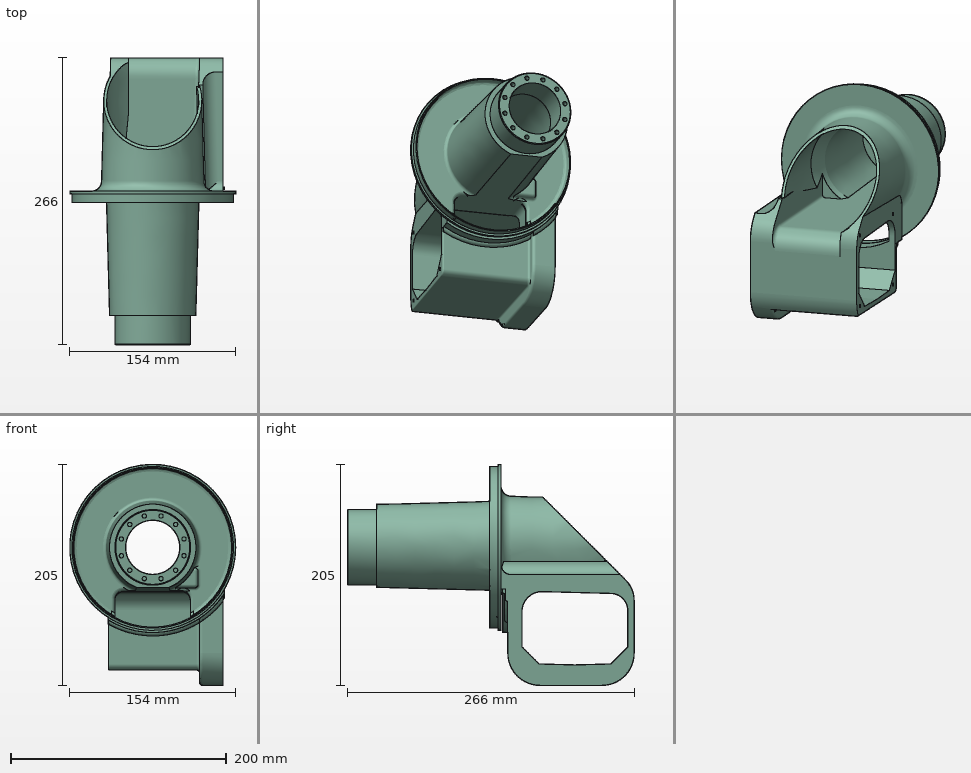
import cadquery as cq
import math


DRAFT = math.radians(1.5)
Y_BACK = 123.5
Y_NOSE = Y_BACK - 266

LIP_R = 77.0
LIP_LENGTH = 2.7
CUP_R = 75.0
CUP_RIM_R = 74.0
CUP_INNER_R = 72.5
CUP_FRONT = -10.6
CUP_FLOOR = -4.3
CUP_FILLET = 3.0

TUBE_ROOT_R = 42.8
TUBE_END = -115.5
ROOT_FILLET = 3.0
SPIGOT_R = 35.0
SPIGOT_CHAMFER = 0.8
BORE_R = 25.0
BORE_LENGTH = 32.0
TUBE_WALL = 5.0

BOLT_COUNT = 12
BOLT_CIRCLE_R = 30.0
BOLT_HOLE_D = 4.0
BOLT_HOLE_DEPTH = 8.0

NECK_R = 47.75
NECK_FILLET = 9.3
NECK_WALL = 3.0
SLOPE_ANGLE = math.radians(45)
SLOPE_SUM = 85.0
SLOPE_ROUND = 26.5

BOX_LEFT = -41.5
BOX_LEFT_LEAN = 2.5
BOX_RIGHT = 43.4
BOX_FRONT = 14.5
BOX_BOTTOM = -113.8
BOX_TOP = -18.5
BOX_EDGE = 5.3
BOX_SIDE_EDGE = 1.3

PLATE_RIGHT = 65.2
PLATE_FRONT = 6.0
PLATE_BOTTOM = LIP_R - 205.0
PLATE_TOP = -25.3
PLATE_CORNER_R = 30.0
PLATE_EDGE = 3.2
PLATE_BOX_FILLET = 2.5
PLATE_NECK_FILLET = 12.2
PLATE_NECK_X = 45.8

SKIRT_R = 79.0
SKIRT_FRONT = 1.3
SKIRT_FILLET = 3.2
SKIRT_RIGHT = 66.5
SKIRT_RIM_BACK = 4.0
SKIRT_RIM_TOP = -38.5

CAVITY_FRONT = 19.5
CAVITY_BACK = 117.3
CAVITY_BOTTOM = -108.0
CAVITY_CORNER = 15.7
CAVITY_FRONT_ROUND = 18.4
POCKET_LEFT = -35.0
POCKET_RIGHT = 34.8
POCKET_CORNER = 8.5
POCKET_FILLET = 3.0

SCREW_D = 3.0
SCREW_DEPTH = 8.0
SCREW_Y = (24.7, 114.0)
SCREW_Z = (-104.8, -37.5)

FLAT_Z = -40.2
FLOOR_THICKNESS = 5.3
FLOOR_BACK_ROUND = 19.2
FLOOR_LEFT = -22.5
PASSAGE_RIGHT = 38.3
PASSAGE_RIGHT_LEAN = 5.3
PASSAGE_FILLET = 3.2
PASSAGE_SIDE_TOP = -12.0

BOSS_RIGHT = 42.0
BOSS_TOP = -19.2
BOSS_BOTTOM = -37.5
BOSS_FRONT = -10.6
BOSS_FILLET = 3.0

BIG = 212.8
MARGIN = 0.3


def taper(length):
    """Change of radius or height over a drafted length."""
    return length * math.tan(DRAFT)


def flat_z(y):
    """Height of the drafted plane under the tube, also the cavity ceiling."""
    return FLAT_Z - taper(y)


def floor_z(y):
    """Height of the passage floor, parallel to the flat underneath."""
    return flat_z(y) + FLOOR_THICKNESS


def box(x0, x1, y0, y1, z0, z1):
    """Block between two corners."""
    block = cq.Workplane("XY").box(x1 - x0, y1 - y0, z1 - z0, centered=False)
    return block.translate((x0, y0, z0))


def centred_within(x0, x1, y0, y1, z0, z1):
    """Selector for the edges whose centres lie in a region, its boundary included."""
    low = (x0 - MARGIN, y0 - MARGIN, z0 - MARGIN)
    high = (x1 + MARGIN, y1 + MARGIN, z1 + MARGIN)
    return cq.selectors.BoxSelector(low, high)


def turned(profile):
    """Solid of revolution of a profile about the tube axis."""
    return profile.close().revolve(360, (0, 0, 0), (0, 1, 0))


def half_profile():
    """Start of a profile to be turned, drawn in (radius, Y)."""
    return cq.Workplane("XY")


def along_x(profile, x0, x1):
    """Extrude a closed (Y, Z) profile from x0 to x1."""
    return profile.close().extrude(x1 - x0).translate((x0, 0, 0))


def flange_cup():
    disc = turned(
        half_profile()
        .moveTo(0, 0)
        .lineTo(LIP_R, 0)
        .lineTo(LIP_R, -LIP_LENGTH)
        .lineTo(CUP_R, -LIP_LENGTH)
        .lineTo(CUP_R, CUP_FRONT)
        .lineTo(0, CUP_FRONT)
    )
    hollow = turned(
        half_profile()
        .moveTo(0, CUP_FLOOR)
        .lineTo(CUP_INNER_R, CUP_FLOOR)
        .lineTo(CUP_RIM_R, CUP_FRONT)
        .lineTo(0, CUP_FRONT)
    )
    hollow = hollow.faces(">Y").edges().fillet(CUP_FILLET)
    return disc.cut(hollow)


def tube():
    end_r = TUBE_ROOT_R - taper(CUP_FRONT - TUBE_END)
    floor_r = TUBE_ROOT_R + taper(CUP_FLOOR - CUP_FRONT)
    body = turned(
        half_profile()
        .moveTo(0, 0)
        .lineTo(floor_r + ROOT_FILLET, 0)
        .lineTo(floor_r + ROOT_FILLET, CUP_FLOOR)
        .radiusArc((floor_r, CUP_FLOOR - ROOT_FILLET), -ROOT_FILLET)
        .lineTo(end_r, TUBE_END)
        .lineTo(0, TUBE_END)
    )
    under = along_x(
        cq.Workplane("YZ")
        .moveTo(TUBE_END, flat_z(TUBE_END))
        .lineTo(0, flat_z(0))
        .lineTo(0, -BIG)
        .lineTo(TUBE_END, -BIG),
        -BIG, BIG,
    )
    return body.cut(under)


def spigot():
    body = turned(
        half_profile()
        .moveTo(0, TUBE_END)
        .lineTo(SPIGOT_R, TUBE_END)
        .lineTo(SPIGOT_R, Y_NOSE)
        .lineTo(0, Y_NOSE)
    )
    return body.faces("<Y").chamfer(SPIGOT_CHAMFER)


def bolt_holes():
    return (
        cq.Workplane("XZ", origin=(0, Y_NOSE, 0))
        .polarArray(BOLT_CIRCLE_R, 180 / BOLT_COUNT, 360, BOLT_COUNT)
        .circle(BOLT_HOLE_D / 2)
        .extrude(-BOLT_HOLE_DEPTH)
    )


def side_outline():
    """Everything inside the housing's outline along X: slope, rounded back and bottom."""
    tangent = SLOPE_ROUND * math.tan(SLOPE_ANGLE / 2)
    corner_z = SLOPE_SUM - Y_BACK
    step = tangent * math.sin(SLOPE_ANGLE)
    return along_x(
        cq.Workplane("YZ")
        .moveTo(0, SLOPE_SUM)
        .lineTo(Y_BACK - step, corner_z + step)
        .radiusArc((Y_BACK, corner_z - tangent), SLOPE_ROUND)
        .lineTo(Y_BACK, PLATE_BOTTOM + PLATE_CORNER_R)
        .radiusArc((Y_BACK - PLATE_CORNER_R, PLATE_BOTTOM), PLATE_CORNER_R)
        .lineTo(PLATE_FRONT + PLATE_CORNER_R, PLATE_BOTTOM)
        .radiusArc((PLATE_FRONT, PLATE_BOTTOM + PLATE_CORNER_R), PLATE_CORNER_R)
        .lineTo(PLATE_FRONT, -SKIRT_R + SKIRT_FILLET)
        .lineTo(0, -SKIRT_R + SKIRT_FILLET),
        -BIG, BIG,
    )


def neck():
    straight_r = NECK_R - taper(NECK_FILLET)
    return turned(
        half_profile()
        .moveTo(0, 0)
        .lineTo(straight_r + NECK_FILLET, 0)
        .radiusArc((straight_r, NECK_FILLET), NECK_FILLET)
        .lineTo(NECK_R - taper(Y_BACK), Y_BACK)
        .lineTo(0, Y_BACK)
    )


def box_block(y0, y1, z0, z1):
    """Block of the box's full width, with its leaning left face."""
    def left(y):
        return BOX_LEFT + BOX_LEFT_LEAN * y / Y_BACK

    plan = [(left(y0), y0), (BOX_RIGHT, y0), (BOX_RIGHT, y1), (left(y1), y1)]
    return cq.Workplane("XY", origin=(0, 0, z0)).polyline(plan).close().extrude(z1 - z0)


def housing_box():
    body = box_block(BOX_FRONT, Y_BACK, BOX_BOTTOM, BOX_TOP)
    body = body.edges("|X and <Z and <Y").fillet(BOX_EDGE)
    left_edges = body.faces("<X").edges("<Z or <Y")
    body = body.newObject(left_edges.vals()).fillet(BOX_SIDE_EDGE)
    plate_side = box(BOX_RIGHT, PLATE_RIGHT, 0, Y_BACK, PLATE_BOTTOM, BOX_TOP)
    at_plate = centred_within(BOX_RIGHT, BOX_RIGHT, BOX_FRONT, Y_BACK, BOX_BOTTOM, BOX_TOP)
    body = body.union(plate_side).edges(at_plate).fillet(PLATE_BOX_FILLET)
    return body.cut(plate_side)


def mounting_plate():
    lower = box(BOX_RIGHT, PLATE_RIGHT, PLATE_FRONT, Y_BACK, PLATE_BOTTOM, PLATE_TOP)
    lower = lower.intersect(side_outline()).faces("<X").edges().fillet(PLATE_EDGE)
    upper = box(0, PLATE_RIGHT, 0, Y_BACK, SKIRT_RIM_TOP, PLATE_TOP)
    core = box(BOX_RIGHT, PLATE_RIGHT, BOX_FRONT, Y_BACK, BOX_BOTTOM, PLATE_TOP)
    return lower.union(upper).union(core)


def plate_neck_fillet():
    """Concave fillet between the top of the plate and the side of the neck, drafted like the neck."""
    axis_x = PLATE_NECK_X + PLATE_NECK_FILLET
    axis_z = PLATE_TOP + PLATE_NECK_FILLET
    corner = box(0, axis_x, 0, Y_BACK, PLATE_TOP, axis_z)
    hollow = cq.Workplane("XZ").center(axis_x, axis_z).circle(PLATE_NECK_FILLET).extrude(-Y_BACK)
    return corner.cut(hollow).rotate((axis_x, Y_BACK, 0), (axis_x, Y_BACK, 1), math.degrees(DRAFT))


def plate_flange_fillet():
    """Concave fillet between the top of the plate and the back of the flange."""
    top = PLATE_TOP + NECK_FILLET
    corner = box(0, PLATE_RIGHT, 0, NECK_FILLET, PLATE_TOP, top)
    hollow = cq.Workplane("YZ").center(NECK_FILLET, top).circle(NECK_FILLET).extrude(PLATE_RIGHT)
    return corner.cut(hollow)


def skirt_ring(root_y):
    """Solid disc whose rim flares out with a fillet onto a face at root_y."""
    return turned(
        half_profile()
        .moveTo(0, SKIRT_FRONT)
        .lineTo(SKIRT_R, SKIRT_FRONT)
        .lineTo(SKIRT_R, root_y - SKIRT_FILLET)
        .radiusArc((SKIRT_R + SKIRT_FILLET, root_y), -SKIRT_FILLET)
        .lineTo(SKIRT_R, root_y)
        .lineTo(SKIRT_R, root_y + SKIRT_FILLET)
        .lineTo(0, root_y + SKIRT_FILLET)
    )


def skirt():
    left = box_block(0, Y_BACK, -BIG, BOX_TOP)
    right = box(BOX_RIGHT, PLATE_RIGHT, 0, Y_BACK, -BIG, PLATE_TOP)
    rim = box(BOX_RIGHT, SKIRT_RIGHT, 0, SKIRT_RIM_BACK, -BIG, SKIRT_RIM_TOP)
    at_box = skirt_ring(BOX_FRONT).intersect(left)
    at_plate = skirt_ring(PLATE_FRONT).intersect(right.union(rim))
    return at_box.union(at_plate)


def housing():
    body = neck().union(housing_box()).union(mounting_plate()).union(plate_neck_fillet())
    body = body.union(plate_flange_fillet())
    return body.intersect(side_outline()).union(skirt())


def boss():
    """Boss with its root fillet, standing on a thin patch of the cup floor."""
    block = box(0, BOSS_RIGHT, BOSS_FRONT, 0, BOSS_BOTTOM, BOSS_TOP)
    block = block.edges("|Y and >X").fillet(BOSS_FILLET).faces("<Y").edges("not <X").fillet(BOSS_FILLET)
    patch = box(
        0, BOSS_RIGHT + 2 * BOSS_FILLET,
        CUP_FLOOR, 0,
        BOSS_BOTTOM - 2 * BOSS_FILLET, BOSS_TOP + 2 * BOSS_FILLET,
    )
    root = centred_within(BOSS_FILLET, BOSS_RIGHT, CUP_FLOOR, CUP_FLOOR, BOSS_BOTTOM, BOSS_TOP)
    return block.union(patch).edges(root).fillet(BOSS_FILLET)


def below_floor():
    """Material under the passage floor, with its rounded back edge."""
    round_start = Y_BACK - FLOOR_BACK_ROUND
    return along_x(
        cq.Workplane("YZ")
        .moveTo(Y_NOSE, floor_z(Y_NOSE))
        .lineTo(round_start, floor_z(round_start))
        .radiusArc((Y_BACK, floor_z(round_start) - FLOOR_BACK_ROUND), FLOOR_BACK_ROUND)
        .lineTo(Y_BACK, -BIG)
        .lineTo(Y_NOSE, -BIG),
        -BIG, BIG,
    )


def passage():
    step_y = Y_NOSE + BORE_LENGTH
    root_inner_r = TUBE_ROOT_R - TUBE_WALL
    neck_inner_r = NECK_R - NECK_WALL
    round_bore = turned(
        half_profile()
        .moveTo(0, step_y)
        .lineTo(root_inner_r - taper(CUP_FRONT - step_y), step_y)
        .lineTo(root_inner_r, CUP_FRONT)
        .lineTo(neck_inner_r, NECK_FILLET)
        .lineTo(neck_inner_r - taper(Y_BACK), Y_BACK)
        .lineTo(0, Y_BACK)
    )
    plan = [
        (FLOOR_LEFT, CUP_FLOOR),
        (PASSAGE_RIGHT, CUP_FLOOR),
        (PASSAGE_RIGHT + PASSAGE_RIGHT_LEAN, Y_BACK),
        (FLOOR_LEFT, Y_BACK),
    ]
    corner = cq.Workplane("XY", origin=(0, 0, -BIG)).polyline(plan).close().extrude(BIG + PASSAGE_SIDE_TOP)
    hollow = round_bore.union(corner).cut(below_floor())
    right_edge = centred_within(PASSAGE_RIGHT, BIG, 0, Y_BACK, -BIG, floor_z(0))
    hollow = hollow.edges("not (|X or |Z)").edges(right_edge).fillet(PASSAGE_FILLET)
    front_bore = cq.Workplane("XZ", origin=(0, Y_NOSE, 0)).circle(BORE_R).extrude(-BORE_LENGTH)
    return hollow.union(front_bore)


def cavity():
    front_z = flat_z(CAVITY_FRONT + CAVITY_FRONT_ROUND)
    middle = (CAVITY_FRONT + CAVITY_BACK) / 2
    back_z = flat_z(CAVITY_BACK - CAVITY_CORNER)
    return along_x(
        cq.Workplane("YZ")
        .moveTo(CAVITY_FRONT, front_z - CAVITY_FRONT_ROUND)
        .radiusArc((CAVITY_FRONT + CAVITY_FRONT_ROUND, front_z), CAVITY_FRONT_ROUND)
        .lineTo(CAVITY_BACK - CAVITY_CORNER, back_z)
        .radiusArc((CAVITY_BACK, back_z - CAVITY_CORNER), CAVITY_CORNER)
        .lineTo(CAVITY_BACK, CAVITY_BOTTOM + CAVITY_CORNER)
        .lineTo(CAVITY_BACK - CAVITY_CORNER, CAVITY_BOTTOM)
        .lineTo(middle, CAVITY_BOTTOM - taper(CAVITY_BACK - CAVITY_CORNER - middle))
        .lineTo(CAVITY_FRONT + CAVITY_CORNER, CAVITY_BOTTOM)
        .lineTo(CAVITY_FRONT, CAVITY_BOTTOM + CAVITY_CORNER),
        BOX_LEFT, PLATE_RIGHT,
    )


def cup_window():
    """Opening from the cup floor into the cavity, under the tube."""
    back = CAVITY_FRONT + CAVITY_CORNER
    window = along_x(
        cq.Workplane("YZ")
        .moveTo(CUP_FRONT, flat_z(CUP_FRONT))
        .lineTo(back, flat_z(back))
        .lineTo(back, -CUP_RIM_R)
        .lineTo(CUP_FRONT, -CUP_RIM_R),
        POCKET_LEFT, POCKET_RIGHT,
    )
    window = window.faces(">Z").edges("not |X").fillet(POCKET_CORNER)
    cup_space = box(-CUP_R, CUP_R, CUP_FRONT, CUP_FLOOR, -CUP_RIM_R, CUP_R)
    rim = centred_within(POCKET_LEFT, POCKET_RIGHT, CUP_FLOOR, CUP_FLOOR, -CUP_INNER_R, 0)
    flared = window.union(cup_space).edges(rim).fillet(POCKET_FILLET)
    window = flared.cut(cup_space).union(window)
    inside_skirt = cq.Workplane("XZ", origin=(0, back, 0)).circle(CUP_RIM_R).extrude(back - CUP_FRONT)
    return window.intersect(inside_skirt)


def screw_holes():
    centres = [(y, z) for y in SCREW_Y for z in SCREW_Z]
    face = cq.Workplane("YZ", origin=(BOX_LEFT, 0, 0))
    return face.pushPoints(centres).circle(SCREW_D / 2).extrude(SCREW_DEPTH)


result = flange_cup().union(housing()).union(boss())
result = result.cut(cup_window())
result = result.union(tube()).union(spigot())
result = result.cut(passage()).cut(cavity())
result = result.cut(bolt_holes()).cut(screw_holes())